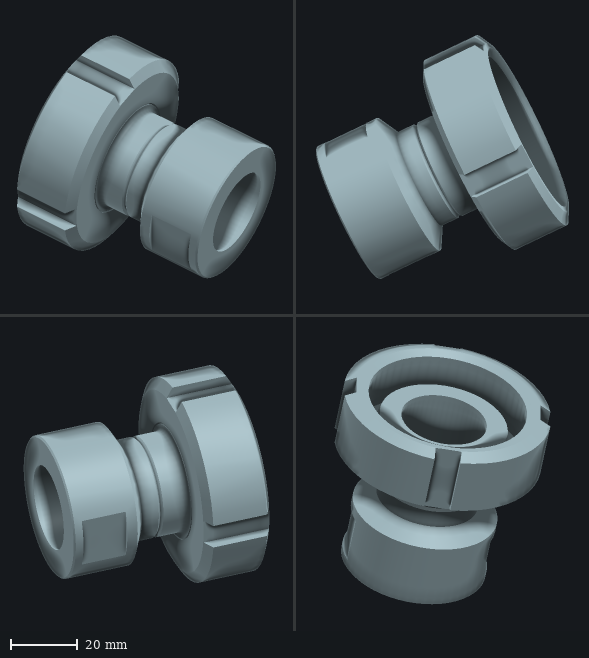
import cadquery as cq
import math

overall_length = 60.0
bore_diameter = 26.0
neck_diameter = 31.0

nut_diameter = 63.0
nut_length = 21.0
nut_face_diameter = 56.0
nut_chamfer_length = 1.95
nut_mouth_diameter = 52.75
nut_thread_diameter = 48.2
nut_mouth_depth = 1.5
nut_thread_end = 12.75
nut_relief_diameter = 52.4
nut_floor = 18.1
nut_neck_diameter = 36.0
slot_count = 4
slot_width = 7.9
slot_floor_radius = 27.9

liner_tip = 7.8
liner_tip_diameter = 27.0
liner_face = 8.3
liner_face_diameter = 38.9
liner_collar_diameter = 44.0
liner_shoulder_diameter = 35.0
liner_fillet = 1.5

joint = 29.9
joint_chamfer = 0.75
housing_diameter = 44.0
housing_cone_start = 36.0
housing_cone_end = 39.75
housing_end_chamfer = 0.5
flat_start = 43.05
flat_length = 14.0
across_flats = 41.0


def turn(profile):
    """Revolve a closed (x, radius) profile about the X axis."""
    return profile.close().revolve(360, (0, 0, 0), (1, 0, 0))


def make_nut():
    outer_radius = nut_diameter / 2
    face_radius = nut_face_diameter / 2
    thread_radius = nut_thread_diameter / 2
    relief_radius = nut_relief_diameter / 2
    nut = turn(
        cq.Workplane("XY")
        .moveTo(0, nut_mouth_diameter / 2)
        .lineTo(0, face_radius)
        .lineTo(nut_chamfer_length, outer_radius)
        .lineTo(nut_length - nut_chamfer_length, outer_radius)
        .lineTo(nut_length, face_radius)
        .lineTo(nut_length, nut_neck_diameter / 2)
        .lineTo(nut_floor, nut_neck_diameter / 2)
        .lineTo(nut_floor, relief_radius)
        .lineTo(nut_thread_end, relief_radius)
        .lineTo(nut_thread_end, thread_radius)
        .lineTo(nut_mouth_depth, thread_radius)
    )
    slot = cq.Workplane("XY").box(
        nut_length, slot_width, outer_radius, centered=(False, True, False)
    ).translate((0, 0, slot_floor_radius))
    for index in range(slot_count):
        nut = nut.cut(slot.rotate((0, 0, 0), (1, 0, 0), index * 360 / slot_count))
    return nut


def make_liner():
    bore_radius = bore_diameter / 2
    neck_radius = neck_diameter / 2
    fillet_end = nut_length + liner_fillet
    fillet_top = neck_radius + liner_fillet
    fillet_middle = liner_fillet * (1 - math.sqrt(0.5))
    return turn(
        cq.Workplane("XY")
        .moveTo(liner_tip, bore_radius)
        .lineTo(liner_tip, liner_tip_diameter / 2)
        .lineTo(liner_face, liner_face_diameter / 2)
        .lineTo(nut_floor, liner_collar_diameter / 2)
        .lineTo(nut_floor, liner_shoulder_diameter / 2)
        .lineTo(nut_length, liner_shoulder_diameter / 2)
        .lineTo(nut_length, fillet_top)
        .threePointArc(
            (nut_length + fillet_middle, neck_radius + fillet_middle),
            (fillet_end, neck_radius),
        )
        .lineTo(joint - joint_chamfer, neck_radius)
        .lineTo(joint, neck_radius - joint_chamfer)
        .lineTo(joint, bore_radius)
    )


def make_housing():
    bore_radius = bore_diameter / 2
    neck_radius = neck_diameter / 2
    outer_radius = housing_diameter / 2
    housing = turn(
        cq.Workplane("XY")
        .moveTo(joint, bore_radius)
        .lineTo(joint, neck_radius - joint_chamfer)
        .lineTo(joint + joint_chamfer, neck_radius)
        .lineTo(housing_cone_start, neck_radius)
        .lineTo(housing_cone_end, outer_radius)
        .lineTo(overall_length - housing_end_chamfer, outer_radius)
        .lineTo(overall_length, outer_radius - housing_end_chamfer)
        .lineTo(overall_length, bore_radius)
    )
    flat_cutter = cq.Workplane("XY").box(
        flat_length, outer_radius, housing_diameter, centered=(False, False, True)
    ).translate((flat_start, across_flats / 2, 0))
    for angle in (0, 180):
        housing = housing.cut(flat_cutter.rotate((0, 0, 0), (1, 0, 0), angle))
    return housing


nut = make_nut()
liner = make_liner()
housing = make_housing()

result = cq.Compound.makeCompound([nut.val(), liner.val(), housing.val()])